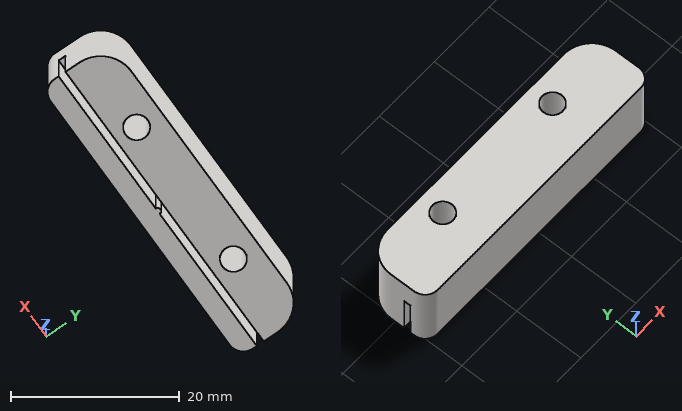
import cadquery as cq

length = 41.0
depth = 10.0
height = 10.0
back_corner_radius = 4.43
front_corner_radius = 2.0

hole_diameter = 3.2
hole_spacing = 20.0
hole_from_front = 6.5

slot_from_front = 2.6
slot_width = 1.0
slot_height = 6.15

rib_radius = 0.4


def make_block():
    block = cq.Workplane("XY").box(length, depth, height, centered=(True, False, False))
    block = block.edges("|Z and >Y").fillet(back_corner_radius)
    return block.edges("|Z and <Y").fillet(front_corner_radius)


def make_holes():
    hole_centers = [(side * hole_spacing / 2, hole_from_front) for side in (-1, 1)]
    return cq.Workplane("XY").pushPoints(hole_centers).circle(hole_diameter / 2).extrude(height)


def make_slot():
    slot = (
        cq.Workplane("XY")
        .box(length, slot_width, slot_height, centered=(True, False, False))
        .translate((0, slot_from_front, 0))
    )
    rib = cq.Workplane("XY").center(0, slot_from_front).circle(rib_radius).extrude(slot_height)
    return slot.cut(rib)


result = make_block().cut(make_holes()).cut(make_slot())